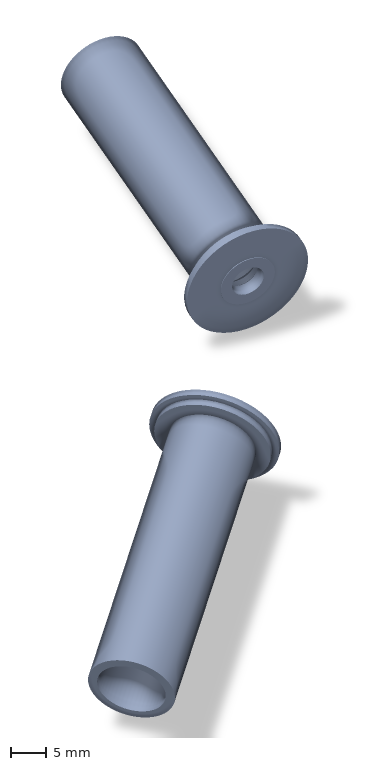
import cadquery as cq

total_length = 47.0
step_thickness = 1.0
crown_height = 0.1
land_length = 1.0
throat_length = 1.97

barrel_diameter = 12.7
collar_diameter = 17.0
flange_diameter = 19.0
crown_diameter = 8.45

bore_diameter = 10.0
seat_diameter = 9.6
neck_diameter = 6.0
throat_diameter = 5.0

flange_end = total_length - crown_height
flange_start = flange_end - step_thickness
collar_start = flange_start - step_thickness


def taper_length(wide_diameter, narrow_diameter):
    """Length of a 45 degree taper between two diameters."""
    return (wide_diameter - narrow_diameter) / 2


throat_start = total_length - throat_length
neck_end = throat_start - taper_length(neck_diameter, throat_diameter)
neck_start = neck_end - land_length
seat_end = neck_start - taper_length(seat_diameter, neck_diameter)
seat_start = seat_end - land_length
bore_end = seat_start - taper_length(bore_diameter, seat_diameter)


def revolve_steps(stretches):
    """Solid of revolution about X from straight stretches (start, end, diameter)."""
    first_x = stretches[0][0]
    last_x = stretches[-1][1]
    outline = cq.Workplane("XY").moveTo(first_x, 0)
    for start, end, diameter in stretches:
        outline = outline.lineTo(start, diameter / 2).lineTo(end, diameter / 2)
    return outline.lineTo(last_x, 0).close().revolve(360, (0, 0, 0), (1, 0, 0))


body = revolve_steps([
    (0, collar_start, barrel_diameter),
    (collar_start, flange_start, collar_diameter),
    (flange_start, flange_end, flange_diameter),
    (flange_end, total_length, crown_diameter),
])

passage = revolve_steps([
    (0, bore_end, bore_diameter),
    (seat_start, seat_end, seat_diameter),
    (neck_start, neck_end, neck_diameter),
    (throat_start, total_length, throat_diameter),
])

result = body.cut(passage)